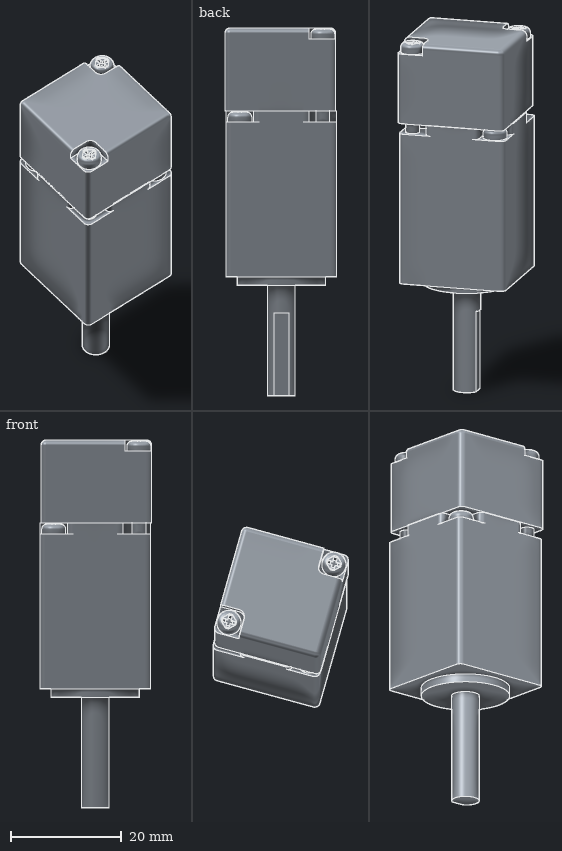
import cadquery as cq

SIDE = 20.0
HOUSING_HEIGHT = 30.0
EDGE_RADIUS = 1.0

DISC_DIAMETER = 16.0
DISC_THICKNESS = 1.5
SHAFT_DIAMETER = 5.0
SHAFT_LENGTH = 20.0
FLAT_LENGTH = 15.0
FLAT_DEPTH = 0.4

HOUSING_POCKET_SIDE = 5.0
HOUSING_POCKET_DEPTH = 2.0
HOUSING_POCKET_RADIUS = 1.0

CAP_HEIGHT = 15.0
CAP_OFFSET_X = 0.2
CAP_OFFSET_Y = -0.2
CAP_POCKET_SIDE = 4.8
CAP_POCKET_DEPTH = 2.0
CAP_POCKET_RADIUS = 1.3

SHANK_DIAMETER = 2.5
SHANK_LENGTH = 20.0
HEAD_DIAMETER = 4.35
HEAD_HEIGHT = 1.8
HEAD_RADIUS = 1.0
RECESS_SPAN = 2.7
RECESS_RIM_DEPTH = 0.3
CROSS_DEPTH = 1.0
CROSS_BOTTOM_SPAN = 1.3
CROSS_ARM_WIDTH = 0.6
HOUSING_SCREW_INSET = 2.5
CAP_SCREW_INSET = 2.3

HOUSING_POCKET_FLOOR = HOUSING_HEIGHT - HOUSING_POCKET_DEPTH
CAP_TOP = HOUSING_HEIGHT + CAP_HEIGHT
CAP_POCKET_FLOOR = CAP_TOP - CAP_POCKET_DEPTH
DISC_BOTTOM = -DISC_THICKNESS
SHAFT_BOTTOM = DISC_BOTTOM - SHAFT_LENGTH

HOUSING_SCREW_REACH = SIDE / 2 - HOUSING_SCREW_INSET
CAP_SCREW_REACH = SIDE / 2 - CAP_SCREW_INSET
HOUSING_SCREW_SEATS = [
    (side * HOUSING_SCREW_REACH, side * HOUSING_SCREW_REACH, HOUSING_POCKET_FLOOR)
    for side in (-1, 1)
]
CAP_CORNERS = [(-1, 1), (1, -1)]
CAP_SCREW_SEATS = [
    (CAP_OFFSET_X + sx * CAP_SCREW_REACH, CAP_OFFSET_Y + sy * CAP_SCREW_REACH, CAP_POCKET_FLOOR)
    for sx, sy in CAP_CORNERS
]


def rounded_block(height):
    """Square block standing on Z = 0 with rounded upright edges."""
    return cq.Workplane("XY").rect(SIDE, SIDE).extrude(height).edges("|Z").fillet(EDGE_RADIUS)


def shank_holes(seats):
    """Cylinders that make room for the shanks of screws seated at the given points."""
    holes = cq.Workplane("XY")
    for x, y, z in seats:
        hole = cq.Workplane("XY", origin=(x, y, z)).circle(SHANK_DIAMETER / 2).extrude(-SHANK_LENGTH)
        holes = holes.add(hole)
    return holes.combine()


def housing_platform():
    """Plus-shaped top layer left between the four corner pockets, all its corners rounded."""
    arm_width = SIDE - 2 * HOUSING_POCKET_SIDE
    layer = cq.Workplane("XY", origin=(0, 0, HOUSING_POCKET_FLOOR))
    along_x = layer.rect(SIDE, arm_width).extrude(HOUSING_POCKET_DEPTH)
    along_y = layer.rect(arm_width, SIDE).extrude(HOUSING_POCKET_DEPTH)
    return along_x.union(along_y).edges("|Z").fillet(HOUSING_POCKET_RADIUS)


def make_shaft():
    """Round shaft with a flat on its +Y side along the free end."""
    shaft = cq.Workplane("XY", origin=(0, 0, SHAFT_BOTTOM)).circle(SHAFT_DIAMETER / 2).extrude(SHAFT_LENGTH)
    flat_y = SHAFT_DIAMETER / 2 - FLAT_DEPTH
    flat_cut = cq.Workplane("XY").box(
        SHAFT_DIAMETER, SHAFT_DIAMETER, FLAT_LENGTH, centered=(True, False, False)
    )
    return shaft.cut(flat_cut.translate((0, flat_y, SHAFT_BOTTOM)))


def make_housing():
    """Housing with its corner pockets, disc and shaft, and holes for all four screws."""
    disc = cq.Workplane("XY").circle(DISC_DIAMETER / 2).extrude(DISC_BOTTOM)
    housing = rounded_block(HOUSING_POCKET_FLOOR).union(housing_platform())
    housing = housing.union(disc).union(make_shaft())
    return housing.cut(shank_holes(HOUSING_SCREW_SEATS + CAP_SCREW_SEATS))


def cap_pocket(sx, sy):
    """Corner pocket in the cap's top, rounded at its inner corner."""
    reach = SIDE / 2 - CAP_POCKET_SIDE / 2
    pocket = (
        cq.Workplane("XY", origin=(sx * reach, sy * reach, CAP_HEIGHT - CAP_POCKET_DEPTH))
        .rect(CAP_POCKET_SIDE, CAP_POCKET_SIDE)
        .extrude(CAP_POCKET_DEPTH)
    )
    inner_edge = cq.selectors.NearestToPointSelector((0, 0, CAP_HEIGHT))
    return pocket.edges("|Z").edges(inner_edge).fillet(CAP_POCKET_RADIUS)


def make_cap():
    """Block with rounded top, two corner screw pockets and their screw holes."""
    cap = rounded_block(CAP_HEIGHT).faces(">Z").edges().fillet(EDGE_RADIUS)
    for sx, sy in CAP_CORNERS:
        cap = cap.cut(cap_pocket(sx, sy))
    cap = cap.translate((CAP_OFFSET_X, CAP_OFFSET_Y, HOUSING_HEIGHT))
    return cap.cut(shank_holes(CAP_SCREW_SEATS))


def cross_arm():
    """One full arm of the cross recess, narrowing towards its bottom."""
    return (
        cq.Workplane("XZ")
        .moveTo(-RECESS_SPAN / 2, HEAD_HEIGHT)
        .lineTo(RECESS_SPAN / 2, HEAD_HEIGHT)
        .lineTo(CROSS_BOTTOM_SPAN / 2, HEAD_HEIGHT - CROSS_DEPTH)
        .lineTo(-CROSS_BOTTOM_SPAN / 2, HEAD_HEIGHT - CROSS_DEPTH)
        .close()
        .extrude(CROSS_ARM_WIDTH / 2, both=True)
    )


def recess_rim():
    """Shallow octagonal mouth of the cross recess, joining the ends of the four arms."""
    diagonal = RECESS_SPAN + CROSS_ARM_WIDTH
    top_plane = cq.Workplane("XY", origin=(0, 0, HEAD_HEIGHT))
    diamond = top_plane.polygon(4, diagonal).extrude(-RECESS_RIM_DEPTH)
    arm_ends = top_plane.rect(RECESS_SPAN, RECESS_SPAN).extrude(-RECESS_RIM_DEPTH)
    return diamond.intersect(arm_ends)


def make_screw(seat):
    """Screw whose head rests on the seat point and whose shank points down."""
    shank = cq.Workplane("XY").circle(SHANK_DIAMETER / 2).extrude(-SHANK_LENGTH)
    head = cq.Workplane("XY").circle(HEAD_DIAMETER / 2).extrude(HEAD_HEIGHT)
    head = head.faces(">Z").edges().fillet(HEAD_RADIUS)
    rim = recess_rim()
    arm = cross_arm()
    crossing_arm = arm.rotate((0, 0, 0), (0, 0, 1), 90)
    head = head.cut(rim).cut(arm).cut(crossing_arm)
    return head.union(shank).translate(seat)


housing = make_housing()
cap = make_cap()
housing_screws = [make_screw(seat) for seat in HOUSING_SCREW_SEATS]
cap_screws = [make_screw(seat) for seat in CAP_SCREW_SEATS]
screws = housing_screws + cap_screws

result = cq.Compound.makeCompound([part.solids().val() for part in [housing, cap, *screws]])